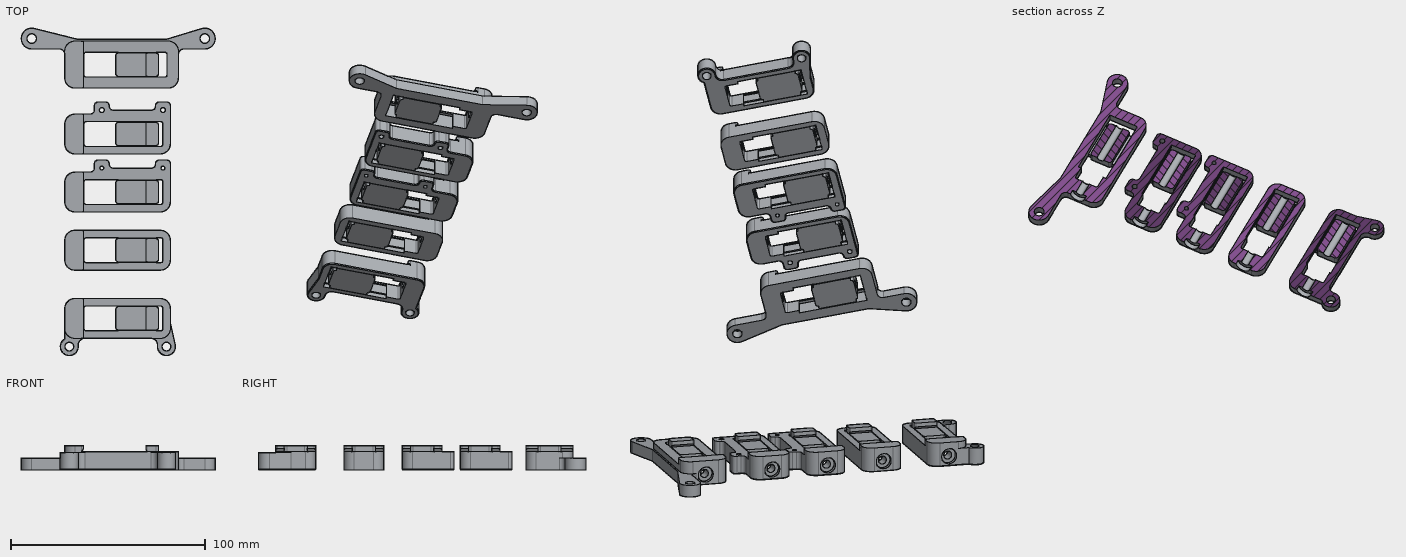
import cadquery as cq
import math


total_height = 12.6
frame_height = 9.5
corner_radius = 5.3
fixed_jaw_length = 9.8
jaw_undercut = 1.0
jaw_edge_radius = 1.0
jaw_lip_height = 1.5
slot_width = 12.6
slot_half = slot_width / 2
slot_corner_radius = 1.0
slot_start = 10.0
bottom_chamfer = 0.45

slim_wall = 4.0
slim_width = slot_width + 2 * slim_wall
slim_length = 54.4
wide_wall = 5.8
wide_width = slot_width + 2 * wide_wall
wide_end_wall = 6.0
wide_length = 58.5

slot_lip_thickness = 1.1
guide_start = 17.0
wide_guide_depth = 1.5
slim_guide_depth = 0.6
rail_channel_depth = 1.3
rail_channel_height = 2.6

screw_axis_z = 5.2
screw_clearance = 4.2
screw_head_diameter = 8.0
screw_head_depth = 2.5
slider_hole = 4.2

slider_start = 26.2
slider_length = 22.1
slider_width = 12.0
slider_deck_height = frame_height
slider_jaw_lip_height = 2.0
slider_corner_radius = 1.4
slider_jaw_length = 6.6
slider_undercut = 0.7
slider_jaw_edge_radius = 0.5
rail_width = 14.9
rail_height = 2.2
rail_end_gap = 1.2

wing_hole = 4.8
wing_rim = 3.0
wing_radius = wing_hole / 2 + wing_rim
wing_spacing = 88.9
wing_left_x = -16.9
wing_y = 13.4
wing_height = 6.2
wing_fillet = 2.75
strip_width = 1.0
strip_left_x = 6.6
strip_right_x = 52.3

tab_half_width = 3.9
tab_reach = 4.2
tab_right_x = slim_length - tab_half_width
tab_spacing = 31.4
tab_web = 2.0
large_tab_hole = 2.4
small_tab_hole = 1.9
tab_radius = 2.0

foot_hole = 4.4
foot_radius = 4.65
foot_spacing = 49.9
foot_left_x = 2.4
foot_drop = 4.2
foot_height = 9.0
foot_fillet = 3.4
foot_taper_y = -2.5


def tangent_point(point, centre, radius, side):
    """Where the line from point touches the circle; side +1 or -1 picks which of the two."""
    dx = point[0] - centre[0]
    dy = point[1] - centre[1]
    angle = math.atan2(dy, dx) + side * math.acos(radius / math.hypot(dx, dy))
    return (centre[0] + radius * math.cos(angle), centre[1] + radius * math.sin(angle))


def frame_block(length, width):
    """Rounded bar with the fixed jaw standing up at its X = 0 end."""
    bar = (
        cq.Workplane("XY")
        .box(length, width, total_height, centered=(False, True, False))
        .edges("|Z")
        .fillet(corner_radius)
    )
    jaw = (
        cq.Workplane("XZ")
        .lineTo(0, total_height)
        .lineTo(fixed_jaw_length, total_height)
        .lineTo(fixed_jaw_length, total_height - jaw_lip_height)
        .lineTo(fixed_jaw_length - jaw_undercut, frame_height)
        .lineTo(fixed_jaw_length - jaw_undercut, 0)
        .close()
        .extrude(width / 2, both=True)
    )
    jaw_plan = (
        cq.Workplane("XY")
        .box(fixed_jaw_length, width, total_height, centered=(False, True, False))
        .edges("|Z and >X")
        .fillet(jaw_edge_radius)
    )
    low_bar = cq.Workplane("XY").box(length, width, frame_height, centered=(False, True, False))
    return bar.intersect(low_bar.union(jaw.intersect(jaw_plan)))


def guide_recess(slot_end, depth, height):
    """Block that widens the slot by depth on each side, from the underside up to height."""
    return (
        cq.Workplane("XY")
        .box(slot_end - guide_start, slot_width + 2 * depth, height, centered=(False, True, False))
        .translate((guide_start, 0, 0))
    )


def cut_slot(frame, slot_end, guide_depth):
    """Through slot with its guide recesses, closed on top by a narrow lip."""
    slot = (
        cq.Workplane("XY")
        .box(slot_end - slot_start, slot_width, total_height, centered=(False, True, False))
        .edges("|Z")
        .fillet(slot_corner_radius)
        .translate((slot_start, 0, 0))
    )
    frame = frame.cut(slot)
    frame = frame.cut(guide_recess(slot_end, guide_depth, frame_height - slot_lip_thickness))
    return frame.cut(guide_recess(slot_end, rail_channel_depth, rail_channel_height))


def cut_screw_hole(frame):
    """Counterbored screw hole along X through the fixed jaw."""
    outer_face = cq.Workplane("YZ").center(0, screw_axis_z)
    frame = frame.cut(outer_face.circle(screw_clearance / 2).extrude(slot_start))
    return frame.cut(outer_face.circle(screw_head_diameter / 2).extrude(screw_head_depth))


def wing_plate():
    """Flat plate behind the wide frame with an ear reaching out past each end."""
    edge_y = wide_width / 2 + strip_width
    left = (wing_left_x, wing_y)
    right = (wing_left_x + wing_spacing, wing_y)
    strip_left = (strip_left_x, edge_y)
    strip_right = (strip_right_x, edge_y)
    ear_bottom = wing_y - wing_radius
    fillet_low = ear_bottom - wing_fillet
    inner_y = slot_half + wide_wall / 2
    plate = (
        cq.Workplane("XY")
        .moveTo(*strip_left)
        .lineTo(*tangent_point(strip_left, left, wing_radius, 1))
        .threePointArc((left[0] - wing_radius, wing_y), (left[0], ear_bottom))
        .lineTo(-wing_fillet, ear_bottom)
        .radiusArc((0, fillet_low), wing_fillet)
        .lineTo(slot_start, fillet_low)
        .lineTo(slot_start, inner_y)
        .lineTo(wide_length - wide_end_wall, inner_y)
        .lineTo(wide_length - wide_end_wall, fillet_low)
        .lineTo(wide_length, fillet_low)
        .radiusArc((wide_length + wing_fillet, ear_bottom), wing_fillet)
        .lineTo(right[0], ear_bottom)
        .threePointArc(
            (right[0] + wing_radius, wing_y),
            tangent_point(strip_right, right, wing_radius, -1),
        )
        .lineTo(*strip_right)
        .close()
        .extrude(wing_height)
    )
    holes = cq.Workplane("XY").pushPoints([left, right]).circle(wing_hole / 2).extrude(wing_height)
    return plate, holes


def tab_plate(hole_diameter):
    """Two rounded tabs on a web along the +Y side of a slim frame."""
    edge_y = slim_width / 2
    web_y = edge_y + tab_web
    tab_top = web_y + tab_reach
    left = tab_right_x - tab_spacing - tab_half_width
    inner_left = left + 2 * tab_half_width
    inner_right = slim_length - 2 * tab_half_width
    r = tab_radius
    plate = (
        cq.Workplane("XY")
        .moveTo(left - r, edge_y)
        .radiusArc((left, edge_y + r), -r)
        .lineTo(left, tab_top - r)
        .radiusArc((left + r, tab_top), r)
        .lineTo(inner_left - r, tab_top)
        .radiusArc((inner_left, tab_top - r), r)
        .lineTo(inner_left, web_y + r)
        .radiusArc((inner_left + r, web_y), -r)
        .lineTo(inner_right - r, web_y)
        .radiusArc((inner_right, web_y + r), -r)
        .lineTo(inner_right, tab_top - r)
        .radiusArc((inner_right + r, tab_top), r)
        .lineTo(slim_length - r, tab_top)
        .radiusArc((slim_length, tab_top - r), r)
        .lineTo(slim_length, 0)
        .lineTo(slim_length - slim_wall, 0)
        .lineTo(slim_length - slim_wall, slot_half)
        .lineTo(left - r, slot_half)
        .close()
        .extrude(frame_height)
    )
    hole_points = [(tab_right_x - tab_spacing, web_y), (tab_right_x, web_y)]
    holes = cq.Workplane("XY").pushPoints(hole_points).circle(hole_diameter / 2).extrude(frame_height)
    return plate, holes


def foot_web(centre, side_point, outer_touch, inward):
    """Outline filling the frame corner and blending into one foot; inward is the X sense."""
    edge_y = -slim_width / 2
    rise = centre[1] - (edge_y - foot_fillet)
    run = math.sqrt((foot_radius + foot_fillet) ** 2 - rise**2)
    blend_centre = (centre[0] + inward * run, edge_y - foot_fillet)
    share = foot_radius / (foot_radius + foot_fillet)
    blend_touch = (centre[0] + inward * run * share, centre[1] - rise * share)
    return (
        cq.Workplane("XY")
        .moveTo(*side_point)
        .lineTo(*outer_touch)
        .lineTo(*centre)
        .lineTo(*blend_touch)
        .radiusArc((blend_centre[0], edge_y), inward * foot_fillet)
        .lineTo(blend_centre[0], -slot_half)
        .lineTo(side_point[0] + inward * slim_wall, -slot_half)
        .lineTo(side_point[0] + inward * slim_wall, side_point[1])
        .close()
        .extrude(foot_height)
    )


def foot_plate():
    """Two round feet below the -Y side of a slim frame, blended into its corners."""
    foot_y = -slim_width / 2 - foot_drop
    left = (foot_left_x, foot_y)
    right = (foot_left_x + foot_spacing, foot_y)
    left_touch = (0, foot_y + math.sqrt(foot_radius**2 - foot_left_x**2))
    right_side = (slim_length, foot_taper_y)
    right_touch = tangent_point(right_side, right, foot_radius, -1)
    plate = cq.Workplane("XY").pushPoints([left, right]).circle(foot_radius).extrude(foot_height)
    plate = plate.union(foot_web(left, (0, foot_taper_y), left_touch, 1))
    plate = plate.union(foot_web(right, right_side, right_touch, -1))
    holes = cq.Workplane("XY").pushPoints([left, right]).circle(foot_hole / 2).extrude(foot_height)
    return plate, holes


def wide_frame():
    """Wide frame carrying the two wing ears."""
    plate, holes = wing_plate()
    frame = frame_block(wide_length, wide_width).union(plate)
    frame = cut_slot(frame, wide_length - wide_end_wall, wide_guide_depth)
    return cut_screw_hole(frame).cut(holes)


def slim_frame(ears=None, chamfered=True):
    """Slim frame; ears is an optional pair of plate and hole solids."""
    frame = frame_block(slim_length, slim_width)
    if ears:
        frame = frame.union(ears[0])
    if chamfered:
        frame = frame.faces("<Z").chamfer(bottom_chamfer)
    frame = cut_slot(frame, slim_length - slim_wall, slim_guide_depth)
    if ears:
        frame = frame.cut(ears[1])
    return cut_screw_hole(frame)


def slider():
    """Sliding jaw: block on side rails with a raised, undercut jaw at its far end."""
    jaw_start = slider_length - slider_jaw_length
    deck = (
        cq.Workplane("XY")
        .box(slider_length, slider_width, slider_deck_height, centered=(False, True, False))
        .edges("|Z")
        .fillet(slider_corner_radius)
    )
    jaw = (
        cq.Workplane("XZ")
        .moveTo(jaw_start + slider_undercut, slider_deck_height)
        .lineTo(jaw_start, total_height - slider_jaw_lip_height)
        .lineTo(jaw_start, total_height)
        .lineTo(slider_length, total_height)
        .lineTo(slider_length, slider_deck_height)
        .close()
        .extrude(slider_width / 2, both=True)
    )
    jaw_plan = (
        cq.Workplane("XY")
        .box(slider_jaw_length, slider_width, total_height, centered=(False, True, False))
        .edges("|Z and >X")
        .fillet(slider_corner_radius)
        .edges("|Z and <X")
        .fillet(slider_jaw_edge_radius)
        .translate((jaw_start, 0, 0))
    )
    rails = (
        cq.Workplane("XY")
        .box(slider_length - 2 * rail_end_gap, rail_width, rail_height, centered=(False, True, False))
        .translate((rail_end_gap, 0, 0))
    )
    screw_hole = cq.Workplane("YZ").center(0, screw_axis_z).circle(slider_hole / 2).extrude(slider_length)
    body = deck.union(jaw.intersect(jaw_plan)).union(rails).cut(screw_hole)
    return body.translate((slider_start, 0, 0))


wide_frame_y = 65.43
large_tab_frame_y = 29.8
small_tab_frame_y = 0.0
plain_frame_y = -29.9
foot_frame_y = -64.9

row = [
    (wide_frame(), wide_frame_y),
    (slim_frame(tab_plate(large_tab_hole)), large_tab_frame_y),
    (slim_frame(tab_plate(small_tab_hole)), small_tab_frame_y),
    (slim_frame(chamfered=False), plain_frame_y),
    (slim_frame(foot_plate()), foot_frame_y),
]
bodies = []
for frame, y in row:
    bodies.append(frame.translate((0, y, 0)).val())
    bodies.append(slider().translate((0, y, 0)).val())

result = cq.Compound.makeCompound(bodies)